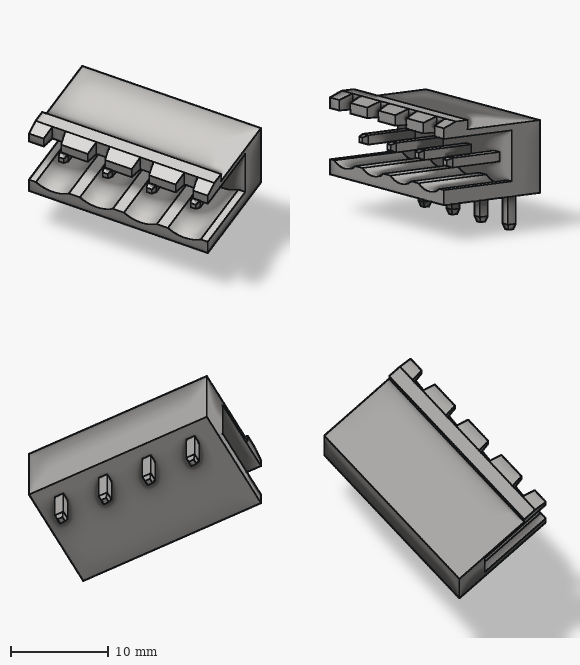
import cadquery as cq

length = 20.63
depth = 12.0
height = 7.61
rear_wall = 3.55
floor_thickness = 1.59
roof_thickness = 0.68

lip_height = 1.0
lip_width = 3.0
bevel_run = 1.49
bevel_drop = 0.55

contact_count = 4
pitch = 5.07
first_contact = (length - (contact_count - 1) * pitch) / 2
contact_positions = [first_contact + i * pitch for i in range(contact_count)]

notch_inner_width = 1.5
notch_outer_width = 2.0

groove_width = 3.8
groove_depth = 0.55

pin_size = 1.0
tip_size = 0.6
tip_length = 0.6
mating_pin_height = 3.82
mating_pin_setback = 2.0
solder_pin_length = 4.0
solder_pin_from_back = 2.0

cavity_depth = depth - rear_wall
roof_underside = height - roof_thickness
lip_top = height + lip_height


def make_housing():
    """C-shaped section with a bevelled lip, extruded along X."""
    return (
        cq.Workplane("YZ")
        .moveTo(0, 0)
        .lineTo(depth, 0)
        .lineTo(depth, height)
        .lineTo(lip_width, height)
        .lineTo(lip_width, lip_top)
        .lineTo(bevel_run, lip_top)
        .lineTo(0, lip_top - bevel_drop)
        .lineTo(0, roof_underside)
        .lineTo(cavity_depth, roof_underside)
        .lineTo(cavity_depth, floor_thickness)
        .lineTo(0, floor_thickness)
        .close()
        .extrude(length)
    )


def make_lip_notch(x):
    """Flared notch through the roof and lip, as deep as the bevel."""
    return (
        cq.Workplane("XY", origin=(x, 0, roof_underside))
        .moveTo(-notch_outer_width / 2, 0)
        .lineTo(notch_outer_width / 2, 0)
        .lineTo(notch_inner_width / 2, bevel_run)
        .lineTo(-notch_inner_width / 2, bevel_run)
        .close()
        .extrude(lip_top - roof_underside)
    )


def make_floor_groove(x):
    """Shallow circular-segment groove running from the front to the rear wall."""
    return (
        cq.Workplane("XZ", origin=(x, 0, floor_thickness))
        .moveTo(-groove_width / 2, 0)
        .threePointArc((0, -groove_depth), (groove_width / 2, 0))
        .close()
        .extrude(-cavity_depth)
    )


def make_pin(root, direction, pin_length):
    """Square pin of the given overall length, ending in a tapered tip."""
    plane = cq.Plane(origin=root, xDir=(1, 0, 0), normal=direction)
    shank = cq.Workplane(plane).rect(pin_size, pin_size).extrude(pin_length - tip_length)
    tip = (
        cq.Workplane(plane)
        .workplane(offset=pin_length - tip_length)
        .rect(pin_size, pin_size)
        .workplane(offset=tip_length)
        .rect(tip_size, tip_size)
        .loft(ruled=True)
    )
    return shank.union(tip)


result = make_housing()
for x in contact_positions:
    result = result.cut(make_lip_notch(x)).cut(make_floor_groove(x))

for x in contact_positions:
    mating_pin = make_pin(
        (x, cavity_depth, mating_pin_height), (0, -1, 0), cavity_depth - mating_pin_setback
    )
    solder_pin = make_pin((x, depth - solder_pin_from_back, 0), (0, 0, -1), solder_pin_length)
    result = result.union(mating_pin).union(solder_pin)